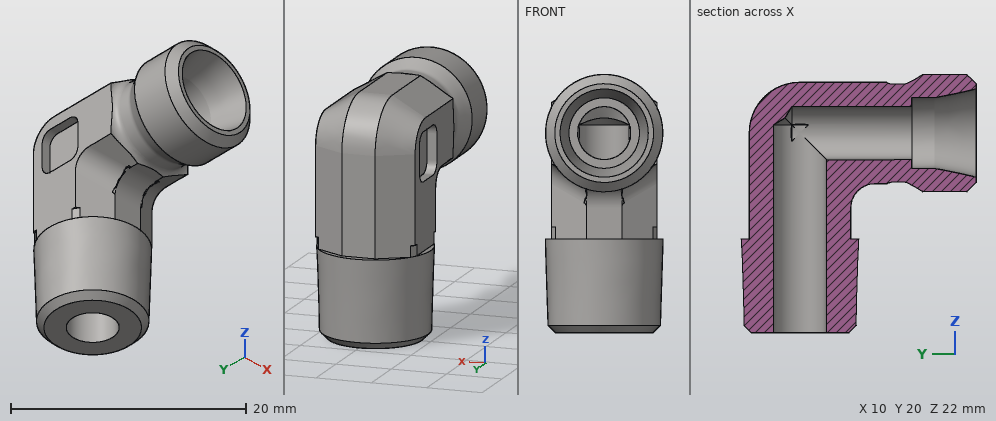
import cadquery as cq
import math


HEX_ACROSS_FLATS = 9.0
INNER_CORNER_RADIUS = 2.0
BEND_ANGLE = 90
SELECT_MARGIN = 0.1
BODY_HALF_WIDTH = HEX_ACROSS_FLATS / 2
HEX_SLOPE = math.tan(math.radians(30))
SIDE_HALF_HEIGHT = BODY_HALF_WIDTH * HEX_SLOPE
CREST_HALF_WIDTH = 1.5
CREST_HEIGHT = 2 * SIDE_HALF_HEIGHT - CREST_HALF_WIDTH * HEX_SLOPE

TAPER_BOTTOM_Z = -17.0
TAPER_LENGTH = 8.0
TAPER_TOP_RADIUS = 5.02
TAPER_SLOPE = 1 / 32
TAPER_CHAMFER = 0.64
TAPER_TOP_Z = TAPER_BOTTOM_Z + TAPER_LENGTH

RELIEF_RADIUS = 5.0
RELIEF_HEIGHT = 1.0

TUBE_END = 15.0
TUBE_RADIUS = 5.0
TUBE_FACE_RADIUS = 4.2
TUBE_CHAMFER_LENGTH = 0.82
NECK_RADIUS = 4.2
NECK_START = 7.8
NECK_END = 8.82
NECK_BLEND_RADIUS = 0.8
SHOULDER_ANGLE = math.radians(30)
HEX_END = NECK_START - NECK_BLEND_RADIUS

BORE_RADIUS = 2.25
BORE_OVERRUN = 0.7
DRILL_HALF_ANGLE = math.radians(59)
SEAT_MOUTH_RADIUS = 3.75
SEAT_RADIUS = 3.0
SEAT_HALF_ANGLE = math.radians(12)
SEAT_TAPER_LENGTH = (SEAT_MOUTH_RADIUS - SEAT_RADIUS) / math.tan(SEAT_HALF_ANGLE)
SEAT_DEPTH = 5.5

RECESS_SIZE = 4.4
RECESS_CORNER_RADIUS = 1.0
RECESS_DEPTH = 0.9
RECESS_OFFSET = -0.7


HALF_SECTION = [
    (BODY_HALF_WIDTH, SIDE_HALF_HEIGHT),
    (CREST_HALF_WIDTH, CREST_HEIGHT),
    (-CREST_HALF_WIDTH, CREST_HEIGHT),
    (-BODY_HALF_WIDTH, SIDE_HALF_HEIGHT),
]


def bar(plane, length):
    """Prism of the full bar section, extruded from the elbow centre."""
    opposite_half = [(-x, -height) for x, height in HALF_SECTION]
    return cq.Workplane(plane).polyline(HALF_SECTION + opposite_half).close().extrude(length)


def turned_z(points):
    """Solid of revolution about Z from (radius, z) points."""
    return cq.Workplane("XZ").polyline(points).close().revolve(360, (0, 0, 0), (0, 1, 0))


def turned_y(profile):
    """Solid of revolution about Y from an outline drawn in the XY plane."""
    return profile.close().revolve(360, (0, 0, 0), (0, 1, 0))


def elbow_body():
    arms = bar("XY", TAPER_TOP_Z).union(bar("XZ", NECK_START))

    inner_edges = cq.selectors.BoxSelector(
        (-BODY_HALF_WIDTH, -CREST_HEIGHT - SELECT_MARGIN, -CREST_HEIGHT - SELECT_MARGIN),
        (BODY_HALF_WIDTH, -SIDE_HALF_HEIGHT - SELECT_MARGIN, -SIDE_HALF_HEIGHT - SELECT_MARGIN),
    )
    arms = arms.edges(inner_edges).fillet(INNER_CORNER_RADIUS)

    axis_points = [(-BODY_HALF_WIDTH, 0), (BODY_HALF_WIDTH, 0)]
    bend = (
        cq.Workplane("XY")
        .polyline(HALF_SECTION + axis_points)
        .close()
        .revolve(BEND_ANGLE, (0, 0, 0), (1, 0, 0))
    )
    return arms.union(bend)


def relief_ring():
    """Material turned off the body corners above the tapered end."""
    return (
        cq.Workplane("XY", origin=(0, 0, TAPER_TOP_Z))
        .circle(HEX_ACROSS_FLATS)
        .circle(RELIEF_RADIUS)
        .extrude(RELIEF_HEIGHT)
    )


def tapered_end():
    chamfer_top = TAPER_BOTTOM_Z + TAPER_CHAMFER
    chamfer_radius = TAPER_TOP_RADIUS - TAPER_SLOPE * (TAPER_LENGTH - TAPER_CHAMFER)
    return turned_z([
        (0, TAPER_BOTTOM_Z),
        (chamfer_radius - TAPER_CHAMFER, TAPER_BOTTOM_Z),
        (chamfer_radius, chamfer_top),
        (TAPER_TOP_RADIUS, TAPER_TOP_Z),
        (0, TAPER_TOP_Z),
    ])


def body_end_undercut():
    """Concave torus that runs the end of the body into the neck."""
    outer = HEX_ACROSS_FLATS
    arc_centre = NECK_RADIUS + NECK_BLEND_RADIUS
    arc_step = NECK_BLEND_RADIUS * math.sqrt(0.5)
    profile = (
        cq.Workplane("XY")
        .moveTo(NECK_RADIUS, -NECK_START)
        .threePointArc((arc_centre - arc_step, -NECK_START + arc_step), (arc_centre, -HEX_END))
        .lineTo(outer, -HEX_END)
        .lineTo(outer, -NECK_START)
    )
    return turned_y(profile)


def tube_connection():
    """Neck, conical shoulder and chamfered cylinder of the forward arm."""

    def blend_point(angle):
        return (
            NECK_RADIUS + NECK_BLEND_RADIUS * (1 - math.cos(angle)),
            -NECK_END - NECK_BLEND_RADIUS * math.sin(angle),
        )

    blend_radius, blend_y = blend_point(SHOULDER_ANGLE)
    shoulder_y = blend_y - (TUBE_RADIUS - blend_radius) / math.tan(SHOULDER_ANGLE)
    profile = (
        cq.Workplane("XY")
        .moveTo(0, 0)
        .lineTo(NECK_RADIUS, 0)
        .lineTo(NECK_RADIUS, -NECK_END)
        .threePointArc(blend_point(SHOULDER_ANGLE / 2), (blend_radius, blend_y))
        .lineTo(TUBE_RADIUS, shoulder_y)
        .lineTo(TUBE_RADIUS, -TUBE_END + TUBE_CHAMFER_LENGTH)
        .lineTo(TUBE_FACE_RADIUS, -TUBE_END)
        .lineTo(0, -TUBE_END)
    )
    return turned_y(profile)


def drill_tip(radius):
    """Height of the cone left by the drill point."""
    return radius / math.tan(DRILL_HALF_ANGLE)


def lower_bore():
    return turned_z([
        (0, TAPER_BOTTOM_Z),
        (BORE_RADIUS, TAPER_BOTTOM_Z),
        (BORE_RADIUS, BORE_OVERRUN),
        (0, BORE_OVERRUN + drill_tip(BORE_RADIUS)),
    ])


def forward_bore():
    """Tube seat: tapered mouth, straight socket, then the blind through-flow bore."""
    taper_end = -TUBE_END + SEAT_TAPER_LENGTH
    seat_floor = -TUBE_END + SEAT_DEPTH
    profile = (
        cq.Workplane("XY")
        .polyline([
            (0, -TUBE_END),
            (SEAT_MOUTH_RADIUS, -TUBE_END),
            (SEAT_RADIUS, taper_end),
            (SEAT_RADIUS, seat_floor),
            (BORE_RADIUS, seat_floor),
            (BORE_RADIUS, BORE_OVERRUN),
            (0, BORE_OVERRUN + drill_tip(BORE_RADIUS)),
        ])
    )
    return turned_y(profile)


def side_recess():
    return (
        cq.Workplane("YZ", origin=(-BODY_HALF_WIDTH, RECESS_OFFSET, RECESS_OFFSET))
        .rect(RECESS_SIZE, RECESS_SIZE)
        .extrude(RECESS_DEPTH)
        .edges("|X")
        .fillet(RECESS_CORNER_RADIUS)
    )


body = elbow_body().cut(relief_ring()).cut(body_end_undercut())
fitting = body.union(tapered_end()).union(tube_connection())
result = fitting.cut(lower_bore()).cut(forward_bore()).cut(side_recess())